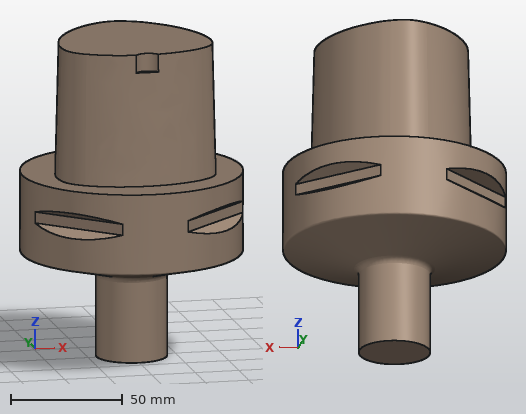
import cadquery as cq
import math

total_height = 145.0
flange_top = 85.0
rim_height = 48.1

flange_radius = 100 / 2
pin_radius = 32.0 / 2
cone_angle = 15
cone_drop = (flange_radius - pin_radius) * math.tan(math.radians(cone_angle))
rim_fillet = 1.0
neck_fillet = 2.9

shank_width = 72.0
shank_taper = 1 / 20
lobe_eccentricity = 2.8
side_half_angle = 34
side_count = 3
points_per_face = 7

pocket_height = 69.0
pocket_flat_height = 5.1
pocket_flat_distance = 44.4
pocket_wall_angle = 30
pocket_count = 4

notch_radius = 6.0
notch_center_y = -34.8
notch_depth = 8.1


def lobe_point(mean_radius, angle):
    """Point of the constant-width outline whose normal has this angle; a side is centred on angle 0."""
    e = lobe_eccentricity
    x = mean_radius * math.cos(angle) - 2 * e * math.cos(2 * angle) + e * math.cos(4 * angle)
    y = mean_radius * math.sin(angle) + 2 * e * math.sin(2 * angle) + e * math.sin(4 * angle)
    return cq.Vector(x, y, 0)


def lobe_face_curve(mean_radius, start, end):
    """Smooth stretch of the outline between two normal angles, in radians."""
    step = (end - start) / (points_per_face - 1)
    points = [lobe_point(mean_radius, start + i * step) for i in range(points_per_face)]
    tangents = [cq.Vector(-math.sin(a), math.cos(a), 0) for a in (start, end)]
    return cq.Edge.makeSpline(points, tangents=tangents)


def lobe_outline(mean_radius, height):
    """Closed outline of wide sides and tight corners, with one side facing -Y."""
    half_side = math.radians(side_half_angle)
    pitch = 2 * math.pi / side_count
    edges = []
    for i in range(side_count):
        center = i * pitch
        corner_end = center + pitch - half_side
        edges.append(lobe_face_curve(mean_radius, center - half_side, center + half_side))
        edges.append(lobe_face_curve(mean_radius, center + half_side, corner_end))
    wire = cq.Wire.assembleEdges(edges)
    return wire.rotate(cq.Vector(0, 0, 0), cq.Vector(0, 0, 1), -90).translate(cq.Vector(0, 0, height))


def make_shank():
    base_radius = shank_width / 2
    top_radius = base_radius - shank_taper * (total_height - flange_top) / 2
    outlines = [lobe_outline(base_radius, flange_top), lobe_outline(top_radius, total_height)]
    return cq.Workplane(cq.Solid.makeLoft(outlines, True))


def make_flange_and_pin():
    body = (
        cq.Workplane("XZ")
        .polyline([
            (0, 0),
            (pin_radius, 0),
            (pin_radius, rim_height - cone_drop),
            (flange_radius, rim_height),
            (flange_radius, flange_top),
            (0, flange_top),
        ])
        .close()
        .revolve(360, (0, 0, 0), (0, 1, 0))
    )
    neck = cq.selectors.RadiusNthSelector(0)
    body = body.edges("%CIRCLE").edges(neck).edges(">Z").fillet(neck_fillet)
    rim = cq.selectors.RadiusNthSelector(-1)
    return body.edges("%CIRCLE").edges(rim).edges("<Z").fillet(rim_fillet)


def make_pocket():
    """Straight groove with a flat floor and flared walls, on the +X side."""
    depth = flange_radius - pocket_flat_distance
    flare = depth * math.tan(math.radians(pocket_wall_angle))
    half_floor = pocket_flat_height / 2
    half_mouth = half_floor + flare
    return (
        cq.Workplane("XZ")
        .polyline([
            (pocket_flat_distance, pocket_height - half_floor),
            (flange_radius, pocket_height - half_mouth),
            (flange_radius, pocket_height + half_mouth),
            (pocket_flat_distance, pocket_height + half_floor),
        ])
        .close()
        .extrude(flange_radius, both=True)
    )


def make_notch():
    return (
        cq.Workplane("XY", origin=(0, notch_center_y, total_height - notch_depth))
        .circle(notch_radius)
        .extrude(notch_depth)
    )


result = make_flange_and_pin().union(make_shank()).cut(make_notch())

pocket_pitch = 360 / pocket_count
for i in range(pocket_count):
    pocket_angle = (i + 0.5) * pocket_pitch
    result = result.cut(make_pocket().rotate((0, 0, 0), (0, 0, 1), pocket_angle))